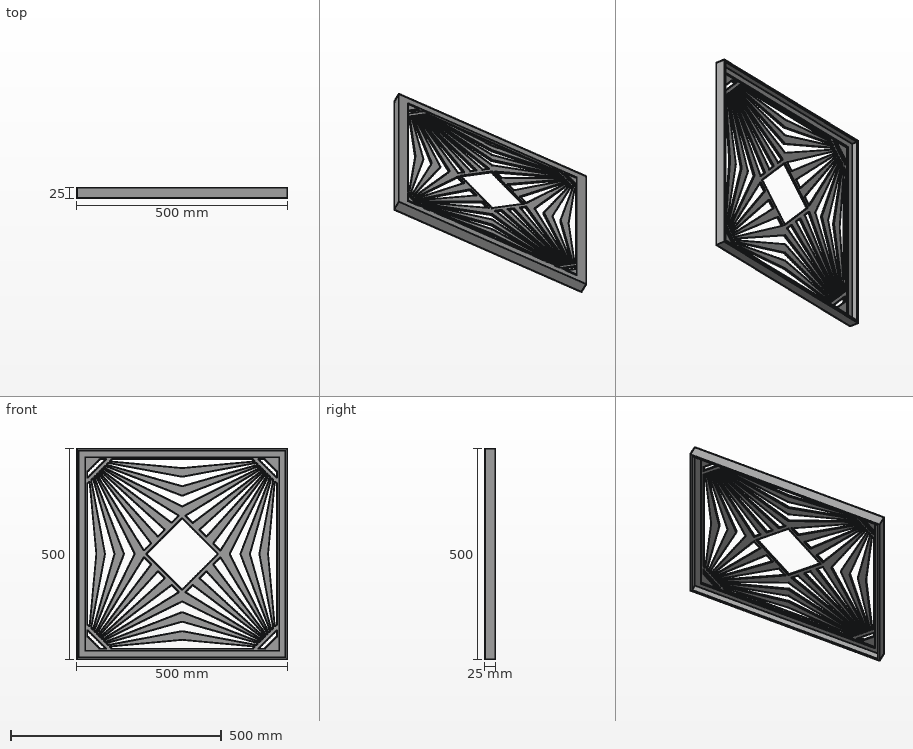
import cadquery as cq
import math

frame_side = 500.0
frame_depth = 25.0
lip_width = 5.0
lip_depth = 15.0
ledge_width = 15.0

screen_thickness = 4.0
screen_back_recess = 2.0
border_width = 25.0
diamond_side = 120.0
diamond_band_width = 10.0
sector_count = 17
corner_plate_leg = 30.0
corner_slot_width = 10.0
corner_bar_width = 10.0

screen_back = frame_depth - screen_back_recess
screen_front = screen_back - screen_thickness
recess_side = frame_side - 2 * lip_width
well_side = recess_side - 2 * ledge_width
pierced_side = frame_side - 2 * border_width
quadrant_side = pierced_side / 2
diamond_outer_half_diagonal = (diamond_side + 2 * diamond_band_width) / math.sqrt(2)
diamond_leg = pierced_side - diamond_outer_half_diagonal
bar_outer_leg = corner_plate_leg + corner_slot_width * math.sqrt(2)
bar_inner_leg = bar_outer_leg + corner_bar_width * math.sqrt(2)
sector_angle = math.radians(90.0 / sector_count)


def square_block(side, front, back):
    """Square block centred on the Y axis between two Y positions."""
    block = cq.Workplane("XY").box(side, back - front, side)
    return block.translate((0, (front + back) / 2, 0))


def screen_prism(points):
    """Prism over an XZ outline, as thick as the screen and in line with it."""
    plane = cq.Workplane("XZ", origin=(0, screen_back, 0))
    return plane.polyline(points).close().extrude(screen_thickness)


def turned(shape, angle):
    """Shape turned about the Y axis."""
    return shape.rotate((0, 0, 0), (0, 1, 0), angle)


def from_corner(u, v):
    """XZ point at distances u and v inward from the lower left corner of the pierced area."""
    return (u - quadrant_side, v - quadrant_side)


def along_ray(angle, radius):
    """XZ point on a ray from the same corner."""
    return from_corner(radius * math.cos(angle), radius * math.sin(angle))


def radius_to_diagonal(angle, leg):
    """Length of a corner ray up to the 45 degree line that cuts off the given leg."""
    return leg / (math.cos(angle) + math.sin(angle))


def gap_near_end(angle):
    """Where a corner ray leaves the corner bar."""
    return along_ray(angle, radius_to_diagonal(angle, bar_inner_leg))


def gap_far_end(angle):
    """Where a corner ray first meets a mid line of the part or the diamond's band."""
    to_mid_line = quadrant_side / max(math.cos(angle), math.sin(angle))
    return along_ray(angle, min(to_mid_line, radius_to_diagonal(angle, diamond_leg)))


def fan_gap(sector):
    """Tapered opening beside the ribs, widening away from the corner bar."""
    start = sector * sector_angle
    end = start + sector_angle
    return screen_prism([gap_near_end(start), gap_far_end(start), gap_far_end(end), gap_near_end(end)])


def corner_slot():
    """Diagonal slot between the corner plate and the bar that carries the ribs."""
    return screen_prism([
        from_corner(corner_plate_leg, 0),
        from_corner(bar_outer_leg, 0),
        from_corner(0, bar_outer_leg),
        from_corner(0, corner_plate_leg),
    ])


def diamond_opening():
    """Central square opening, standing on a corner."""
    return turned(square_block(diamond_side, screen_front, screen_back), 45)


def frame_with_blank_screen():
    """Frame with a stepped recess in front of the solid screen and a shallow one behind it."""
    body = square_block(frame_side, 0, frame_depth)
    body = body.cut(square_block(recess_side, 0, lip_depth))
    body = body.cut(square_block(well_side, lip_depth, screen_front))
    return body.cut(square_block(pierced_side, screen_back, frame_depth))


corner_openings = [corner_slot()]
for gap_sector in range(0, sector_count, 2):
    corner_openings.append(fan_gap(gap_sector))

result = frame_with_blank_screen().cut(diamond_opening())
for quarter in range(4):
    for opening in corner_openings:
        result = result.cut(turned(opening, 90 * quarter))